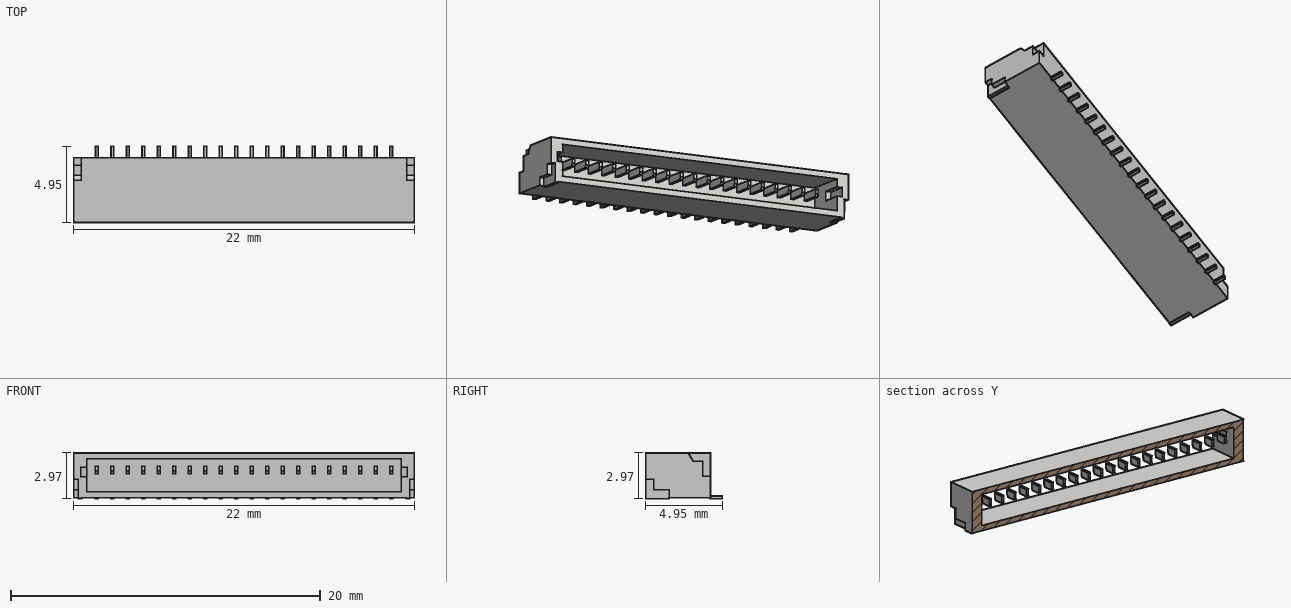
import cadquery as cq


length = 22.0
total_depth = 4.95
total_height = 2.97
foot_reach = 0.75
standoff = 0.07
depth = total_depth - foot_reach
height = total_height - standoff

side_wall = 0.84
floor_wall = 0.4
cavity_depth = 3.0
cavity_length = length - 2 * side_wall
cavity_height = height - 2 * floor_wall

slot_depth_x = 0.37
slot_length = 1.5
slot_height = 0.62
slot_top_drop = 0.92

front_recess_width = 0.3
front_recess_height = 1.2
front_recess_step_height = 0.53
front_recess_short = 0.5
front_recess_long = 1.52

rear_recess_width = 0.48
rear_recess_drop = 1.52
rear_recess_step_drop = 0.53
rear_recess_short = 0.5
rear_recess_step_length = 1.15
rear_recess_long = 1.45

pin_count = 20
pin_row_length = 19.0
pitch = pin_row_length / (pin_count - 1)
pin_width = 0.2
pin_height = 0.48
pin_top_drop = 0.85
pin_tip_inset = 1.5
pin_tip_chamfer_length = 0.09
pin_tip_chamfer_height = 0.18
foot_thickness = 0.2
foot_overlap = 0.07

tab_width = 0.2
tab_embed = 0.2


def box(size_x, size_y, size_z, corner):
    """Box with its lowest X, Y, Z corner at the given point."""
    return cq.Workplane("XY").box(size_x, size_y, size_z, centered=False).translate(corner)


def side_profile(points, x_start, width):
    """Extrude a (Y, Z) outline along +X from x_start."""
    return cq.Workplane("YZ", origin=(x_start, 0, 0)).polyline(points).close().extrude(width)


def with_opposite(solid):
    """The solid of the -X end together with its mirror image at the +X end."""
    return solid.union(solid.mirror("YZ"))


def front_recess():
    top = standoff + front_recess_height
    step = standoff + front_recess_step_height
    points = [
        (0, 0),
        (front_recess_long, 0),
        (front_recess_long, step),
        (front_recess_short, step),
        (front_recess_short, top),
        (0, top),
    ]
    return side_profile(points, -length / 2, front_recess_width)


def rear_recess():
    step = total_height - rear_recess_step_drop
    bottom = total_height - rear_recess_drop
    points = [
        (depth, total_height),
        (depth - rear_recess_long, total_height),
        (depth - rear_recess_step_length, step),
        (depth - rear_recess_short, step),
        (depth - rear_recess_short, bottom),
        (depth, bottom),
    ]
    return side_profile(points, -length / 2, rear_recess_width)


def key_slot():
    slot_bottom = total_height - slot_top_drop - slot_height
    return box(slot_depth_x, slot_length, slot_height,
               (-cavity_length / 2 - slot_depth_x, 0, slot_bottom))


def housing():
    shell = box(length, depth, height, (-length / 2, 0, standoff))
    cavity = box(cavity_length, cavity_depth, cavity_height,
                 (-cavity_length / 2, 0, standoff + floor_wall))
    shell = shell.cut(cavity)
    for recess in (key_slot(), front_recess(), rear_recess()):
        shell = shell.cut(with_opposite(recess))
    return shell


def contact(x_center):
    """Mating pin through the rear wall and solder foot of one contact."""
    x_start = x_center - pin_width / 2
    top = total_height - pin_top_drop
    bottom = top - pin_height
    pin_points = [
        (pin_tip_inset, top),
        (depth, top),
        (depth, bottom),
        (pin_tip_inset + pin_tip_chamfer_length, bottom),
        (pin_tip_inset, bottom + pin_tip_chamfer_height),
    ]
    pin = side_profile(pin_points, x_start, pin_width)
    foot = box(pin_width, foot_reach + foot_overlap, foot_thickness,
               (x_start, depth - foot_overlap, 0))
    return pin.union(foot)


def hold_down_tab():
    return box(tab_width, front_recess_long, standoff + tab_embed,
               (-length / 2 + front_recess_width, 0, 0))


result = housing().union(with_opposite(hold_down_tab()))
for index in range(pin_count):
    result = result.union(contact(index * pitch - pin_row_length / 2))